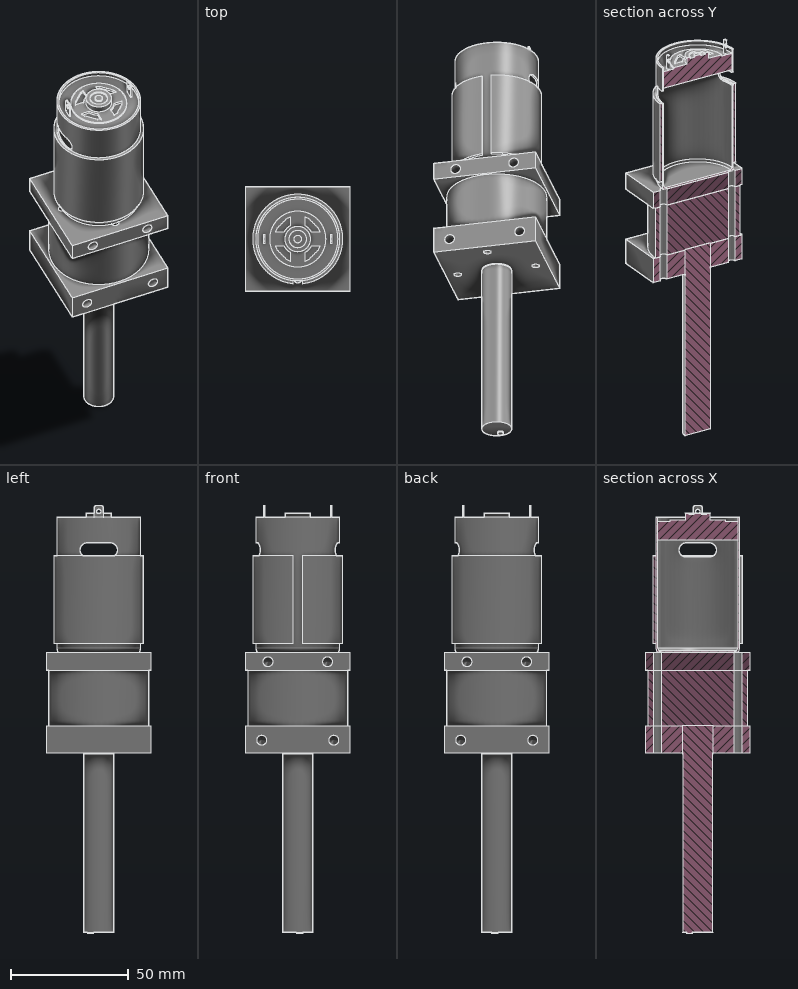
import cadquery as cq
import math


block_side = 44.45
front_block_height = 11.5
ring_gear_height = 23.55
ring_gear_radius = 21.27
motor_block_height = 7.65
front_block_top = front_block_height
ring_gear_top = front_block_top + ring_gear_height
motor_block_top = ring_gear_top + motor_block_height

bolt_circle_radius = 17.0
bolt_hole_diameter = 3.2

mount_hole_diameter = 4.2
mount_hole_depth = 9.5
drill_point_angle = 118
front_mount_offset = 15.3
front_mount_z = 5.45
motor_mount_offset = 12.65
motor_mount_z = ring_gear_top + motor_block_height / 2 - 0.1

shaft_radius = 6.4
shaft_length = 76.2
journal_radius = 6.3
shoulder_drop = 0.4
nub_diameter = 2.7
nub_length = 0.5
nub_x = 0.8
nub_y = 3.5

can_radius = 17.8
can_wall = 0.8
can_height = 57.5
can_corner_radius = 3.4
can_corner_height = 1.9
can_top = motor_block_top + can_height
slot_length = 15.8
slot_height = 6.0

flux_ring_radius = 19.08
flux_ring_bottom = motor_block_top + 3.75
flux_ring_height = 37.35
flux_ring_top = flux_ring_bottom + flux_ring_height
flux_ring_gap = 3.85
slot_center_z = flux_ring_top + slot_height / 2 - 0.6

cap_radius = can_radius - can_wall
cap_thickness = 8.0
cap_recess = 1.8
cap_face = can_top - cap_recess
disc_radius = 11.9
disc_height = 0.6
disc_top = cap_face + disc_height
hub_radius = 5.4
hub_top = can_top + 1.7
bearing_radius = 3.7
bearing_recess = 0.6
motor_shaft_radius = 1.6
window_depth = 1.0
window_inner_radius = 6.5
window_outer_radius = 9.9
window_flat_distance = 9.45
spoke_width = 6.0

terminal_x = 14.25
terminal_thickness = 0.5
terminal_width = 3.9
terminal_rise = 4.93
terminal_corner = 1.0
terminal_hole_diameter = 1.8
terminal_hole_drop = 2.6


def disc(radius, bottom, height):
    """Solid cylinder on the Z axis."""
    return cq.Workplane("XY").workplane(offset=bottom).circle(radius).extrude(height)


def bolt_holes(bottom, height):
    """Cutters for the four assembly bolts."""
    plane = cq.Workplane("XY").workplane(offset=bottom)
    return plane.polarArray(bolt_circle_radius, 0, 360, 4).circle(bolt_hole_diameter / 2).extrude(height)


def mounting_holes(offset, z):
    """Cutters for the drilled holes at X = -offset and +offset in both Y faces."""
    radius = mount_hole_diameter / 2
    tip = radius / math.tan(math.radians(drill_point_angle / 2))
    profile = [(0, 0), (radius, 0), (radius, mount_hole_depth), (0, mount_hole_depth + tip)]
    drill = cq.Workplane("XY").polyline(profile).close().revolve(360, (0, 0), (0, 1))
    cutters = cq.Workplane("XY")
    for x in (-offset, offset):
        hole = drill.translate((x, -block_side / 2, z))
        cutters = cutters.add(hole).add(hole.mirror("XZ"))
    return cutters.combine()


def make_block(bottom, height, mount_offset, mount_z):
    """Square gearbox block with its mounting and bolt holes."""
    block = cq.Workplane("XY").box(block_side, block_side, height, centered=(True, True, False))
    block = block.translate((0, 0, bottom))
    return block.cut(mounting_holes(mount_offset, mount_z)).cut(bolt_holes(bottom, height))


def make_front_block():
    block = make_block(0, front_block_height, front_mount_offset, front_mount_z)
    return block.cut(disc(journal_radius, 0, front_block_height))


def make_motor_block():
    return make_block(ring_gear_top, motor_block_height, motor_mount_offset, motor_mount_z)


def make_ring_gear():
    ring = disc(ring_gear_radius, front_block_top, ring_gear_height)
    return ring.cut(bolt_holes(front_block_top, ring_gear_height))


def make_output_shaft():
    shaft = disc(shaft_radius, -shaft_length, shaft_length - shoulder_drop)
    journal = disc(journal_radius, -shoulder_drop, front_block_height + shoulder_drop)
    nub = disc(nub_diameter / 2, -shaft_length - nub_length, nub_length).translate((nub_x, nub_y, 0))
    return shaft.union(journal).union(nub)


def make_can():
    """Cup with a rounded foot and a slot through both X sides."""

    def corner_point(height):
        drop = can_corner_height - height
        inset = can_corner_radius - math.sqrt(can_corner_radius**2 - drop**2)
        return (can_radius - inset, motor_block_top + height)

    bore_radius = can_radius - can_wall
    floor_z = motor_block_top + can_wall
    bore_bottom_radius = corner_point(0)[0] - can_wall
    can = (
        cq.Workplane("XZ")
        .moveTo(0, motor_block_top)
        .lineTo(*corner_point(0))
        .threePointArc(corner_point(can_corner_height / 2), corner_point(can_corner_height))
        .lineTo(can_radius, can_top)
        .lineTo(bore_radius, can_top)
        .lineTo(bore_radius, motor_block_top + can_corner_height)
        .lineTo(bore_bottom_radius, floor_z)
        .lineTo(0, floor_z)
        .close()
        .revolve(360, (0, 0), (0, 1))
    )
    slot = (
        cq.Workplane("YZ")
        .center(0, slot_center_z)
        .slot2D(slot_length, slot_height)
        .extrude(can_radius + can_wall, both=True)
    )
    return can.cut(slot)


def make_flux_ring():
    sleeve = disc(flux_ring_radius, flux_ring_bottom, flux_ring_height)
    bore = disc(can_radius, flux_ring_bottom, flux_ring_height)
    gap = cq.Workplane("XY").box(
        flux_ring_gap, flux_ring_radius, flux_ring_height, centered=(True, False, False)
    )
    return sleeve.cut(bore).cut(gap.translate((0, -flux_ring_radius, flux_ring_bottom)))


def window_pocket():
    """Cutter for the cap window in the +X +Y quarter, between two spokes."""
    edge = spoke_width / 2
    inner = math.sqrt(window_inner_radius**2 - edge**2)
    outer = math.sqrt(window_outer_radius**2 - edge**2)
    inner_mid = window_inner_radius * math.sqrt(0.5)
    flat_half = math.sqrt(window_outer_radius**2 - window_flat_distance**2)
    flat_far = (window_flat_distance + flat_half) * math.sqrt(0.5)
    flat_near = (window_flat_distance - flat_half) * math.sqrt(0.5)
    return (
        cq.Workplane("XY")
        .workplane(offset=disc_top - window_depth)
        .moveTo(inner, edge)
        .lineTo(outer, edge)
        .lineTo(flat_far, flat_near)
        .lineTo(flat_near, flat_far)
        .lineTo(edge, outer)
        .lineTo(edge, inner)
        .threePointArc((inner_mid, inner_mid), (inner, edge))
        .close()
        .extrude(window_depth)
    )


def terminal(x):
    """Upright tab with rounded top corners and an eye."""
    top = can_top + terminal_rise
    height = top - cap_face
    tab = (
        cq.Workplane("XY")
        .box(terminal_thickness, terminal_width, height, centered=(True, True, False))
        .edges("|X and >Z")
        .fillet(terminal_corner)
        .translate((x, 0, cap_face))
    )
    eye = (
        cq.Workplane("YZ")
        .workplane(offset=x)
        .center(0, top - terminal_hole_drop)
        .circle(terminal_hole_diameter / 2)
        .extrude(terminal_thickness, both=True)
    )
    return tab.cut(eye)


def make_end_cap():
    """Cap with a raised disc, four windows, the bearing hub and both terminals."""
    cap = disc(cap_radius, cap_face - cap_thickness, cap_thickness)
    cap = cap.union(disc(disc_radius, cap_face, disc_height))
    window = window_pocket()
    for quarter in range(4):
        cap = cap.cut(window.rotate((0, 0, 0), (0, 0, 1), 90 * quarter))
    cap = cap.union(disc(hub_radius, cap_face, hub_top - cap_face))
    bearing_floor = hub_top - bearing_recess
    cap = cap.cut(disc(bearing_radius, bearing_floor, bearing_recess))
    cap = cap.union(disc(motor_shaft_radius, bearing_floor, bearing_recess))
    for x in (-terminal_x, terminal_x):
        cap = cap.union(terminal(x))
    return cap


front_block = make_front_block()
ring_gear = make_ring_gear()
motor_block = make_motor_block()
output_shaft = make_output_shaft()
can = make_can()
flux_ring = make_flux_ring()
end_cap = make_end_cap()

result = cq.Compound.makeCompound(
    [
        front_block.val(),
        ring_gear.val(),
        motor_block.val(),
        output_shaft.val(),
        can.val(),
        flux_ring.val(),
        end_cap.val(),
    ]
)